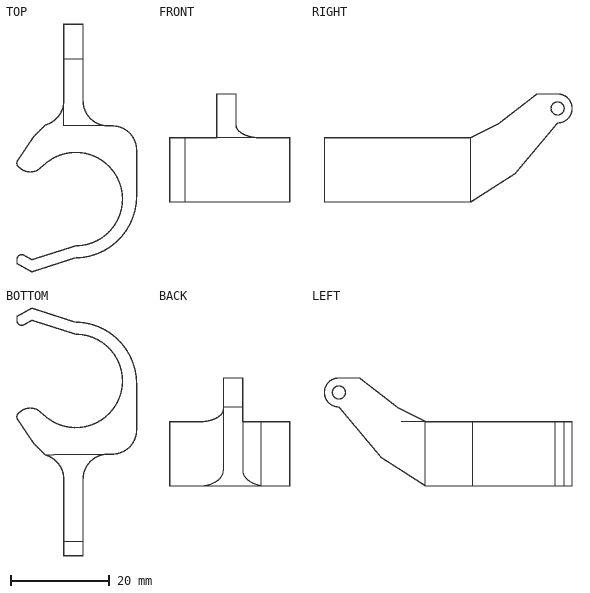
import cadquery as cq
import math

clip_height = 13.1
bore_radius = 9.5
right_face_x = 12.4
back_face_y = 14.9
back_corner_radius = 5.0
outer_radius = 12.6
outer_bottom_y = -12.0
outer_center_x = right_face_x - outer_radius
outer_center_y = outer_bottom_y + outer_radius

jaw_slope_bend = (-8.55, 12.7)
jaw_tip_top = (-11.9, 7.75)
jaw_tip_middle = (-12.0, 7.15)
jaw_tip_bottom = (-11.75, 6.6)
jaw_lip_start = (-10.75, 5.85)
jaw_lip_middle = (-9.3, 5.5)
jaw_lip_end = (-7.75, 5.85)
jaw_bore_angle = math.radians(127)

spring_inner_bend = (-8.9, -12.3)
spring_outer_bend = (-8.9, -14.8)
hook_inner_end = (-10.75, -11.3)
hook_tip_middle = (-11.7, -11.6)
hook_tip_left = (-12.0, -12.3)
hook_outer_end = (-12.0, -13.1)

lever_left_x = -2.45
lever_thickness = 4.0
lever_right_x = lever_left_x + lever_thickness
web_radius = 5.0
left_web_end_x = -6.2
eye_y = 32.6
eye_z = 19.05
eye_radius = 2.95
pin_hole_diameter = 2.6
lever_top_front_y = 28.45
lever_upper_bend = (20.6, 16.0)
lever_lower_bend = (24.0, 5.8)

web_center_y = back_face_y + web_radius
left_web_center_x = lever_left_x - web_radius
right_web_center_x = lever_right_x + web_radius


def on_circle(center_x, center_y, radius, angle):
    return (center_x + radius * math.cos(angle), center_y + radius * math.sin(angle))


left_web_end_angle = -math.acos((left_web_end_x - left_web_center_x) / web_radius)
left_web_end = on_circle(left_web_center_x, web_center_y, web_radius, left_web_end_angle)
right_web_end = (right_web_center_x, back_face_y)


def make_clip():
    corner_x = right_face_x - back_corner_radius
    corner_y = back_face_y - back_corner_radius
    eighth_turn = math.pi / 4
    return (
        cq.Workplane("XY")
        .moveTo(lever_left_x, back_face_y)
        .lineTo(corner_x, back_face_y)
        .threePointArc(
            on_circle(corner_x, corner_y, back_corner_radius, eighth_turn),
            (right_face_x, corner_y),
        )
        .lineTo(right_face_x, outer_center_y)
        .threePointArc(
            on_circle(outer_center_x, outer_center_y, outer_radius, -eighth_turn),
            (outer_center_x, outer_bottom_y),
        )
        .lineTo(*spring_outer_bend)
        .lineTo(*hook_outer_end)
        .lineTo(*hook_tip_left)
        .threePointArc(hook_tip_middle, hook_inner_end)
        .lineTo(*spring_inner_bend)
        .lineTo(0, -bore_radius)
        .threePointArc((bore_radius, 0), on_circle(0, 0, bore_radius, jaw_bore_angle))
        .lineTo(*jaw_lip_end)
        .threePointArc(jaw_lip_middle, jaw_lip_start)
        .lineTo(*jaw_tip_bottom)
        .threePointArc(jaw_tip_middle, jaw_tip_top)
        .lineTo(*jaw_slope_bend)
        .lineTo(*left_web_end)
        .close()
        .extrude(clip_height)
    )


def make_lever_profile(start_x, end_x):
    """Side shape of the lever, extruded along X between two planes."""
    return (
        cq.Workplane("YZ", origin=(start_x, 0, 0))
        .moveTo(back_face_y, 0)
        .lineTo(*lever_lower_bend)
        .lineTo(eye_y, eye_z - eye_radius)
        .threePointArc((eye_y + eye_radius, eye_z), (eye_y, eye_z + eye_radius))
        .lineTo(lever_top_front_y, eye_z + eye_radius)
        .lineTo(*lever_upper_bend)
        .lineTo(back_face_y, clip_height)
        .close()
        .extrude(end_x - start_x)
    )


def make_web(lever_x, end, center_x, middle_angle, height):
    """Concave corner between the back of the clip and one side of the lever."""
    return (
        cq.Workplane("XY")
        .moveTo(lever_x, back_face_y)
        .lineTo(*end)
        .threePointArc(
            on_circle(center_x, web_center_y, web_radius, middle_angle),
            (lever_x, web_center_y),
        )
        .close()
        .extrude(height)
    )


def make_lever():
    lever = make_lever_profile(lever_left_x, lever_right_x)
    pin_hole = (
        cq.Workplane("YZ", origin=(lever_left_x, 0, 0))
        .center(eye_y, eye_z)
        .circle(pin_hole_diameter / 2)
        .extrude(lever_thickness)
    )
    return lever.cut(pin_hole)


def make_left_web():
    web = make_web(
        lever_left_x, left_web_end, left_web_center_x, left_web_end_angle / 2, clip_height
    )
    return web.intersect(make_lever_profile(left_web_end_x, lever_left_x))


def make_right_web():
    web = make_web(
        lever_right_x, right_web_end, right_web_center_x, -3 * math.pi / 4, eye_z
    )
    return web.intersect(make_lever_profile(lever_right_x, right_web_end[0]))


result = make_clip().union(make_lever()).union(make_left_web()).union(make_right_web()).clean()